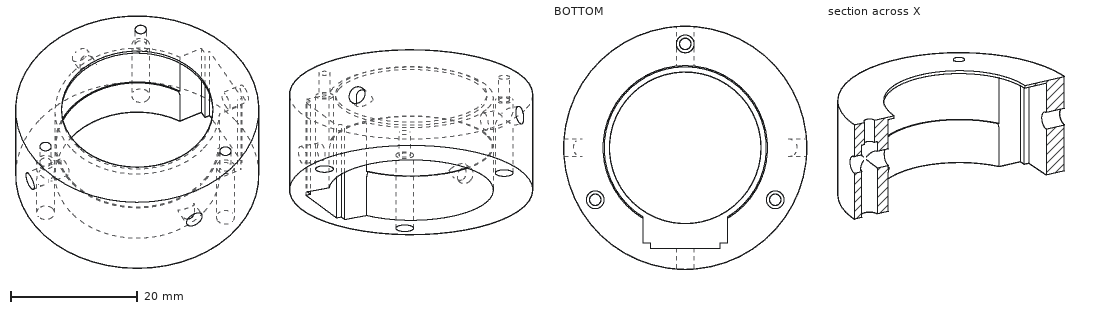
import cadquery as cq

outer_diameter = 38.6
height = 16.33
lip_diameter = 24.0
lip_thickness = 0.5
bore_diameter = 26.1
bore_depth = height - lip_thickness

ridge_bottom = 6.55
ridge_height = 0.93
ridge_depth = 0.2

pocket_width = 13.35
pocket_reach = 15.1
recess_width = 10.95
recess_reach = 15.95

screw_diameter = 1.78
screw_circle_radius = 16.5
screw_angles = (30, 150, 270)

side_hole_diameter = 2.8
side_hole_height = 9.38
blind_hole_depth = 1.55

counterbore_diameter = side_hole_diameter
counterbore_depth = height - 3.85


def ring():
    """Ring with a thin inward lip at the top."""
    body = cq.Workplane("XY").circle(outer_diameter / 2).extrude(height)
    lip_hole = cq.Workplane("XY").circle(lip_diameter / 2).extrude(height)
    bore = cq.Workplane("XY").circle(bore_diameter / 2).extrude(bore_depth)
    return body.cut(lip_hole).cut(bore)


def snap_ridge():
    """Triangular ridge whose root is buried in the bore wall."""
    wall = bore_diameter / 2
    root = wall + ridge_depth
    top = ridge_bottom + ridge_height
    return (
        cq.Workplane("XZ")
        .moveTo(root, ridge_bottom)
        .lineTo(wall, ridge_bottom)
        .lineTo(wall - ridge_depth, top)
        .lineTo(root, top)
        .close()
        .revolve(360, (0, 0, 0), (0, 1, 0))
    )


def flat_pocket(width, reach):
    """Rectangular pocket from the ring axis out to a flat wall, open at the bottom."""
    return cq.Workplane("XY").rect(width, reach).extrude(bore_depth).translate((0, reach / 2, 0))


def screw_holes():
    return (
        cq.Workplane("XY")
        .polarArray(screw_circle_radius, screw_angles[0], 360, len(screw_angles))
        .circle(screw_diameter / 2)
        .extrude(height)
    )


def screw_counterbores():
    return (
        cq.Workplane("XY")
        .polarArray(screw_circle_radius, screw_angles[0], 360, len(screw_angles))
        .circle(counterbore_diameter / 2)
        .extrude(counterbore_depth)
    )


def through_side_hole():
    """Radial hole through both the -Y and +Y walls."""
    return (
        cq.Workplane("XZ")
        .center(0, side_hole_height)
        .circle(side_hole_diameter / 2)
        .extrude(outer_diameter / 2, both=True)
    )


def blind_side_hole(side):
    """Radial hole on the -X or +X side, ending on a convex half cylinder of the same diameter."""
    radius = side_hole_diameter / 2
    hole = (
        cq.Workplane("YZ", origin=(-outer_diameter / 2, 0, side_hole_height))
        .circle(radius)
        .extrude(blind_hole_depth + radius)
    )
    post_x = -outer_diameter / 2 + blind_hole_depth + radius
    post = cq.Workplane("XY", origin=(post_x, 0, 0)).circle(radius).extrude(height)
    rotation = 0 if side < 0 else 180
    return hole.cut(post).rotate((0, 0, 0), (0, 0, 1), rotation)


result = (
    ring()
    .union(snap_ridge())
    .cut(flat_pocket(pocket_width, pocket_reach))
    .cut(flat_pocket(recess_width, recess_reach))
    .cut(screw_holes())
    .cut(screw_counterbores())
    .cut(through_side_hole())
    .cut(blind_side_hole(-1))
    .cut(blind_side_hole(1))
)